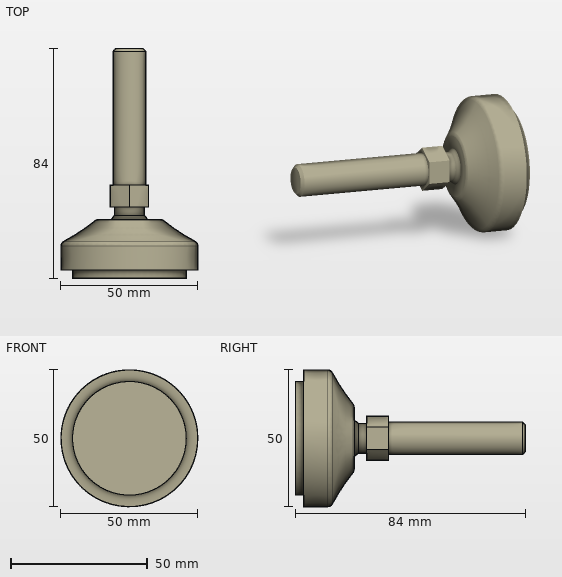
import cadquery as cq
import math


PAD_DIAMETER = 41.5
PAD_HEIGHT = 3.0
FOOT_DIAMETER = 50.0
RIM_HEIGHT = 10.0
SHOULDER_HEIGHT = 8.5
SHOULDER_TOP_DIAMETER = 24.0
SHOULDER_ARC_RADIUS = 70.0
SHOULDER_FILLET = 2.0

NECK_DIAMETER = 11.0
NECK_LENGTH = 3.0
BALL_DIAMETER = 15.0
BALL_CAP_HEIGHT = 1.5
HEX_ACROSS_FLATS = 14.0
HEX_LENGTH = 8.0
STUD_DIAMETER = 12.0
STUD_LENGTH = 50.0
STUD_TIP_CHAMFER = 1.1

RIM_TOP = PAD_HEIGHT + RIM_HEIGHT
FOOT_TOP = RIM_TOP + SHOULDER_HEIGHT
NECK_BOTTOM = FOOT_TOP + BALL_CAP_HEIGHT
HEX_BOTTOM = NECK_BOTTOM + NECK_LENGTH
HEX_TOP = HEX_BOTTOM + HEX_LENGTH
STUD_TOP = HEX_TOP + STUD_LENGTH


def revolve_about_y(profile):
    """Close a half profile drawn in the XY plane and spin it about the Y axis."""
    return profile.close().revolve(360, (0, 0), (0, 1))


def shoulder_arc_middle(start, end):
    """Middle point of the hollow shoulder arc, which sags towards the foot axis and base."""
    run = end[0] - start[0]
    rise = end[1] - start[1]
    chord = math.hypot(run, rise)
    sag = SHOULDER_ARC_RADIUS - math.sqrt(SHOULDER_ARC_RADIUS**2 - (chord / 2) ** 2)
    middle_x = (start[0] + end[0]) / 2 - sag * rise / chord
    middle_y = (start[1] + end[1]) / 2 + sag * run / chord
    return (middle_x, middle_y)


def make_foot():
    """Pad, cylindrical rim and hollow shoulder, with both shoulder edges rounded."""
    pad_radius = PAD_DIAMETER / 2
    rim_radius = FOOT_DIAMETER / 2
    shoulder_start = (rim_radius, RIM_TOP)
    shoulder_end = (SHOULDER_TOP_DIAMETER / 2, FOOT_TOP)
    body = revolve_about_y(
        cq.Workplane("XY")
        .moveTo(0, PAD_HEIGHT)
        .lineTo(rim_radius, PAD_HEIGHT)
        .lineTo(*shoulder_start)
        .threePointArc(shoulder_arc_middle(shoulder_start, shoulder_end), shoulder_end)
        .lineTo(0, FOOT_TOP)
    )
    body = body.edges(">>Y or >>Y[-3]").fillet(SHOULDER_FILLET)
    pad = revolve_about_y(
        cq.Workplane("XY")
        .lineTo(pad_radius, 0)
        .lineTo(pad_radius, PAD_HEIGHT)
        .lineTo(0, PAD_HEIGHT)
    )
    return body.union(pad)


def make_neck():
    """Round neck standing on the part of the ball joint that shows above the foot."""
    neck_radius = NECK_DIAMETER / 2
    ball_radius = BALL_DIAMETER / 2
    ball_center = NECK_BOTTOM - math.sqrt(ball_radius**2 - neck_radius**2)

    def ball_point(level):
        return (math.sqrt(ball_radius**2 - (level - ball_center) ** 2), level)

    return revolve_about_y(
        cq.Workplane("XY")
        .moveTo(0, FOOT_TOP)
        .lineTo(*ball_point(FOOT_TOP))
        .threePointArc(ball_point((FOOT_TOP + NECK_BOTTOM) / 2), (neck_radius, NECK_BOTTOM))
        .lineTo(neck_radius, HEX_BOTTOM)
        .lineTo(0, HEX_BOTTOM)
    )


def make_hex():
    """Wrench hexagon with flats facing +X and -X and corners towards +Z and -Z."""
    across_corners = HEX_ACROSS_FLATS / math.cos(math.radians(30))
    return (
        cq.Workplane("XZ", origin=(0, HEX_BOTTOM, 0))
        .transformed(rotate=(0, 0, 90))
        .polygon(6, across_corners)
        .extrude(-HEX_LENGTH)
    )


def make_stud():
    """Plain cylindrical stud with a chamfered tip."""
    return (
        cq.Workplane("XZ", origin=(0, HEX_TOP, 0))
        .circle(STUD_DIAMETER / 2)
        .extrude(HEX_TOP - STUD_TOP)
        .faces(">Y")
        .chamfer(STUD_TIP_CHAMFER)
    )


result = make_foot().union(make_neck()).union(make_hex()).union(make_stud())